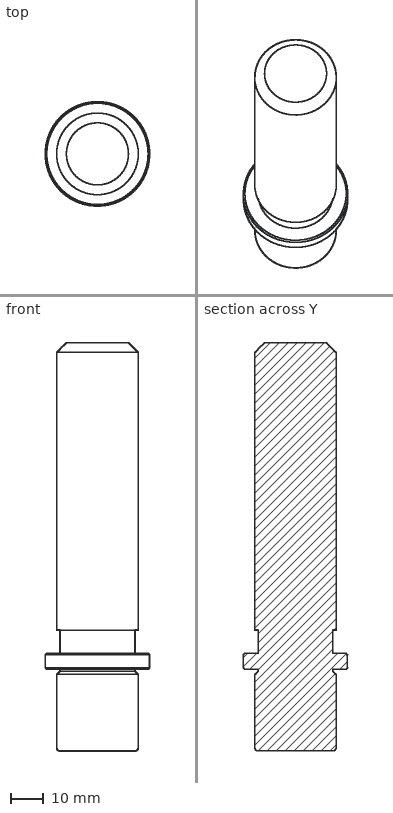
import cadquery as cq

total_height = 125.0
shank_height = 24.5
collar_bottom = 25.0
collar_thickness = 5.0
neck_height = 7.0

pin_diameter = 25.0
neck_diameter = 23.0
collar_diameter = 32.0

tip_chamfer = 3.0
collar_chamfer = 0.5
shoulder_chamfer = (pin_diameter - neck_diameter) / 2
bottom_radius = 1.0

collar_top = collar_bottom + collar_thickness
guide_bottom = collar_top + neck_height


def cylinder(diameter, bottom, top):
    """Cylinder about the Z axis between two heights."""
    return cq.Workplane("XY").workplane(offset=bottom).circle(diameter / 2).extrude(top - bottom)


shank = cylinder(pin_diameter, 0, shank_height)
shank = shank.faces("<Z").edges().fillet(bottom_radius)
shank = shank.faces(">Z").chamfer(shoulder_chamfer)

core = cylinder(neck_diameter, shank_height, guide_bottom)

collar = cylinder(collar_diameter, collar_bottom, collar_top).faces("<Z or >Z").chamfer(collar_chamfer)

guide = cylinder(pin_diameter, guide_bottom, total_height).faces(">Z").chamfer(tip_chamfer)

result = shank.union(core).union(collar).union(guide)